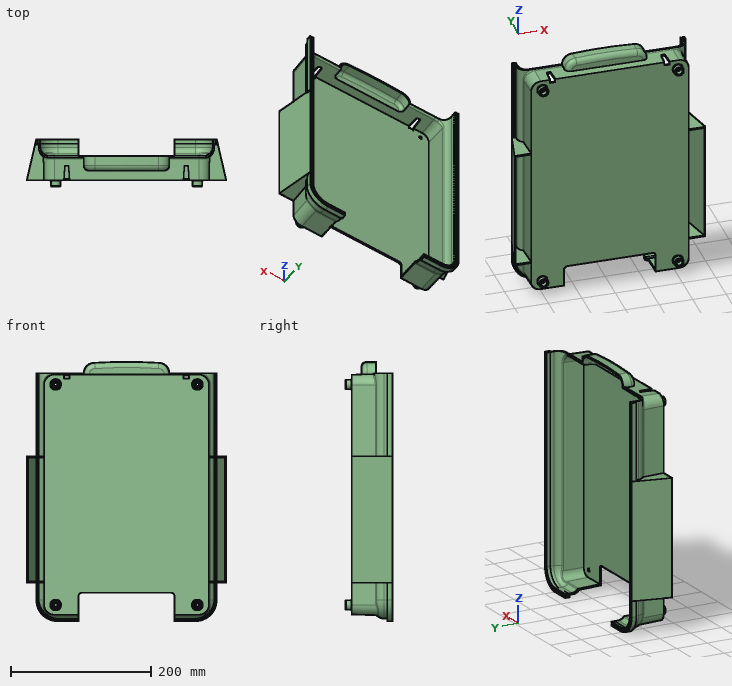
import cadquery as cq
import math

overall_width = 284.74
overall_depth = 67.2
overall_height = 370.13

wall = 2.4
boss_height = 8.8
rim_back = overall_depth - boss_height

rim_half_width = 128.8
rim_corner_radius = 31.0
rim_step = 3.7
rim_front = 50.7
rim_shelf = 1.3
rim_inner_tongue = 1.2
body_top = 353.6

tray_floor = 35.0
tray_outer_radius = 13.4
tray_inner_radius = 12.4
outer_blend = 2.0
inner_blend = 3.0

box_half_width = 117.6
box_bottom = 9.5
box_top = 351.6
box_top_radius = 14.5
box_bottom_radius = 14.0
box_draft = 1.6

notch_half_width = 68.3
notch_top = 40.6
notch_radius = 5.0

handle_half_width = 61.2
handle_straight_half = 45.5
handle_shoulder = 368.6
handle_front = 13.8
handle_edge_radius = 8.0
handle_root = 340.0

wing_bottom = 55.0
wing_top = 235.4
wing_wall = 2.0

boss_x = 101.0
boss_z_levels = (23.2, 337.6)
boss_radius = 7.0
boss_chamfer = 1.0
boss_base_flare = 0.8
boss_bore_radius = 4.3
screw_hole_radius = 2.3

slot_x = 85.2
slot_base_width = 7.8
slot_tip_width = 5.6
slot_length = 20.8
slot_bottom = 346.4
slot_tip_radius = 1.5

overshoot = 20.0
past_back = rim_back + overshoot


def back_facing_plane(y):
    """Sketch plane at depth y: extrusions grow towards +Y and local y is Z."""
    return cq.Workplane(cq.Plane(origin=(0, y, 0), xDir=(-1, 0, 0), normal=(0, 1, 0)))


def dished_block(inset, y_start, y_end, edge_radius=0.0):
    """Block with two rounded lower corners, inset from the rim, running past the body top."""
    half_width = rim_half_width - inset
    height = body_top + overshoot - inset
    block = (
        back_facing_plane(y_start)
        .center(0, inset + height / 2)
        .rect(2 * half_width, height)
        .extrude(y_end - y_start)
        .edges("|Y and <Z")
        .fillet(rim_corner_radius - inset)
    )
    if edge_radius > 0:
        block = block.faces("<Y").edges("not >Z").fillet(edge_radius)
    return block


def rim_groove():
    """Groove in the back of the rim, between its outer and inner tongues."""
    groove_floor = rim_front + rim_shelf
    groove = dished_block(wall, groove_floor, past_back)
    return groove.cut(dished_block(rim_step + wall - rim_inner_tongue, groove_floor, past_back))


def above_body():
    """Everything above the flat upper ends of the tray and rim."""
    return (
        back_facing_plane(0)
        .center(0, body_top + overshoot)
        .rect(2 * overall_width, 2 * overshoot)
        .extrude(past_back)
    )


def box_block(inset, y_end):
    """Drafted block of the well, inset evenly from its outer faces."""
    growth = inset * math.tan(math.radians(box_draft))
    half_width = box_half_width - inset + growth
    bottom = box_bottom + inset - growth
    top = box_top - inset + growth
    bottom_radius = box_bottom_radius - inset
    top_radius = box_top_radius - inset
    outline = (
        back_facing_plane(inset)
        .moveTo(-half_width + bottom_radius, bottom)
        .lineTo(half_width - bottom_radius, bottom)
        .tangentArcPoint((half_width, bottom + bottom_radius), relative=False)
        .lineTo(half_width, top - top_radius)
        .tangentArcPoint((half_width - top_radius, top), relative=False)
        .lineTo(-half_width + top_radius, top)
        .tangentArcPoint((-half_width, top - top_radius), relative=False)
        .lineTo(-half_width, bottom + bottom_radius)
        .tangentArcPoint((-half_width + bottom_radius, bottom), relative=False)
        .close()
    )
    return outline.extrude(y_end - inset, taper=-box_draft)


def shell_block(inset, tray_y, y_end, edge_radius, blend_radius):
    """Tray and box joined, with a small blend where the box leaves the tray."""
    deep_end = tray_y + edge_radius / 2
    block = dished_block(rim_step + inset, tray_y, y_end, edge_radius).union(box_block(inset, deep_end))
    junction_zone = cq.selectors.BoxSelector(
        (-rim_half_width, tray_y - wall / 2, 0),
        (rim_half_width, tray_y + edge_radius - wall, body_top),
        boundingbox=True,
    )
    return block.edges(junction_zone).fillet(blend_radius)


def handle_block(inset, y_end):
    """Handle with a slightly crowned top, quarter-round ends and a rounded front edge."""
    half_width = handle_half_width - inset
    shoulder = handle_shoulder - inset
    crown = overall_height - inset
    end_radius = half_width - handle_straight_half
    mid = end_radius * math.sqrt(0.5)
    arc_z = shoulder - end_radius
    y_start = handle_front + inset
    block = (
        back_facing_plane(y_start)
        .moveTo(-half_width, handle_root)
        .lineTo(half_width, handle_root)
        .lineTo(half_width, arc_z)
        .threePointArc((handle_straight_half + mid, arc_z + mid), (handle_straight_half, shoulder))
        .threePointArc((0, crown), (-handle_straight_half, shoulder))
        .threePointArc((-handle_straight_half - mid, arc_z + mid), (-half_width, arc_z))
        .close()
        .extrude(y_end - y_start)
    )
    return block.faces("<Y").edges("not <Z").fillet(handle_edge_radius - inset)


def make_wing():
    """Right-hand wing: sloping panel closed by a plate at each end."""
    height = wing_top - wing_bottom
    foot_x = overall_width / 2
    anchor_x = box_half_width - wall / 2
    base = cq.Workplane("XY", origin=(0, 0, wing_bottom))
    panel = (
        base.moveTo(foot_x, 0)
        .lineTo(rim_half_width, rim_back)
        .lineTo(rim_half_width - wing_wall, rim_back)
        .lineTo(foot_x - wing_wall, 0)
        .close()
        .extrude(height)
    )
    shelf_y = rim_front + rim_shelf / 2
    wall_x = rim_half_width - rim_step - wall / 2
    curve_centre_x = rim_half_width - rim_step - tray_outer_radius
    curve_centre_y = tray_floor - wall + tray_outer_radius
    curve_radius = tray_outer_radius - wall / 2
    curve_end_x = box_half_width
    curve_end_angle = math.acos((curve_end_x - curve_centre_x) / curve_radius)
    curve_end_y = curve_centre_y - curve_radius * math.sin(curve_end_angle)
    curve_mid = (
        curve_centre_x + curve_radius * math.cos(curve_end_angle / 2),
        curve_centre_y - curve_radius * math.sin(curve_end_angle / 2),
    )
    plate = (
        base.moveTo(anchor_x, 0)
        .lineTo(foot_x, 0)
        .lineTo(rim_half_width, rim_back)
        .lineTo(rim_half_width - wing_wall, rim_back)
        .lineTo(rim_half_width - wing_wall, shelf_y)
        .lineTo(wall_x, shelf_y)
        .lineTo(wall_x, curve_centre_y)
        .threePointArc(curve_mid, (curve_end_x, curve_end_y))
        .close()
        .extrude(wing_wall)
    )
    return panel.union(plate).union(plate.translate((0, 0, height - wing_wall)))


def make_boss(x, z):
    """Round boss with a flared base and a chamfered tip, rooted in the panel."""
    boss = (
        cq.Workplane("XY")
        .moveTo(0, wall)
        .lineTo(boss_radius + boss_base_flare, wall)
        .lineTo(boss_radius + boss_base_flare, 0)
        .lineTo(boss_radius, -boss_base_flare)
        .lineTo(boss_radius, boss_chamfer - boss_height)
        .lineTo(boss_radius - boss_chamfer, -boss_height)
        .lineTo(0, -boss_height)
        .close()
        .revolve(360, (0, 0), (0, 1))
    )
    return boss.translate((x, 0, z))


def boss_hole(x, z):
    """Wide bore down to the panel, then a screw hole through it."""
    bore = back_facing_plane(-boss_height).center(-x, z).circle(boss_bore_radius).extrude(boss_height)
    screw_hole = back_facing_plane(-boss_height).center(-x, z).circle(screw_hole_radius)
    return bore.union(screw_hole.extrude(boss_height + overshoot))


def make_slot(x):
    """Slot open at the panel and narrowing towards a rounded tip."""
    slot = (
        cq.Workplane("XY", origin=(x, 0, slot_bottom))
        .moveTo(-slot_base_width / 2, 0)
        .lineTo(slot_base_width / 2, 0)
        .lineTo(slot_tip_width / 2, slot_length)
        .lineTo(-slot_tip_width / 2, slot_length)
        .close()
        .extrude(overall_height - slot_bottom)
    )
    return slot.edges("|Z and >Y").fillet(slot_tip_radius)


def make_notch():
    notch = (
        back_facing_plane(-overshoot)
        .rect(2 * notch_half_width, 2 * notch_top)
        .extrude(overall_depth + 2 * overshoot)
    )
    return notch.edges("|Y and >Z").fillet(notch_radius)


boss_places = [(side * boss_x, z) for side in (-1, 1) for z in boss_z_levels]

outer = shell_block(0, tray_floor - wall, rim_back, tray_outer_radius, outer_blend)
inner = shell_block(wall, tray_floor, past_back, tray_inner_radius, inner_blend)

body = outer.union(dished_block(0, rim_front, rim_back)).cut(rim_groove()).cut(above_body())
body = body.union(handle_block(0, tray_floor))
body = body.cut(inner).cut(handle_block(wall, past_back))

wing = make_wing()
body = body.union(wing).union(wing.mirror("YZ"))

for x, z in boss_places:
    body = body.union(make_boss(x, z)).cut(boss_hole(x, z))

for side in (-1, 1):
    body = body.cut(make_slot(side * slot_x))

result = body.cut(make_notch())